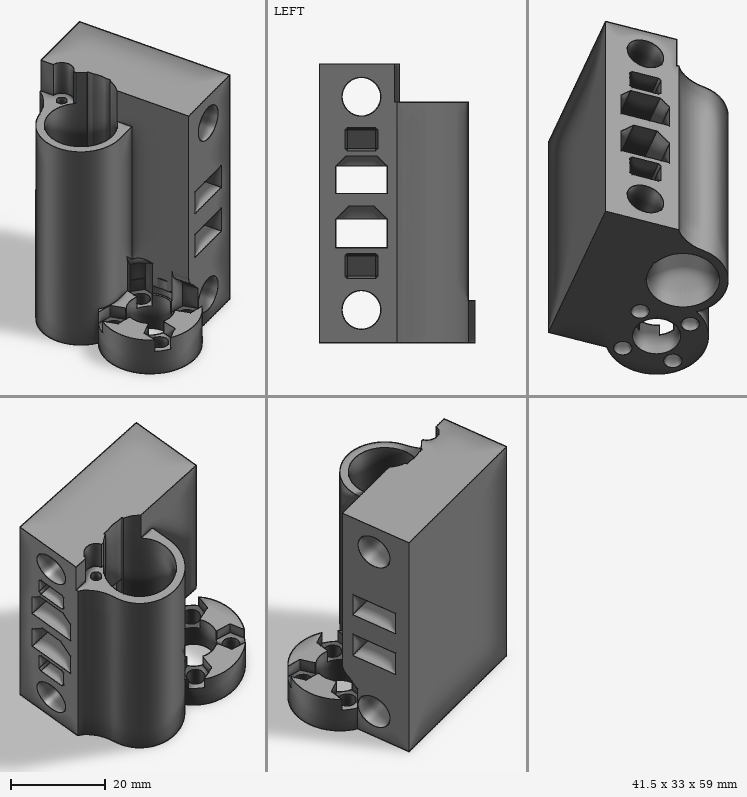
import cadquery as cq
import math

OVERALL_LENGTH = 41.55
OVERALL_DEPTH = 33.0

BLOCK_LENGTH = 37.0
BLOCK_DEPTH = 17.0
BLOCK_HEIGHT = 59.0
STEP_DEPTH = 15.95

FLANGE_RADIUS = 22.0 / 2
FLANGE_HEIGHT = 8.9
FLANGE_X = OVERALL_LENGTH - FLANGE_RADIUS
AXIS_Y = FLANGE_RADIUS - OVERALL_DEPTH

SLEEVE_HEIGHT = 50.9
SLEEVE_X = 13.45
SLEEVE_RADIUS = 9.55
BORE_RADIUS = 7.7
RELIEF_WIDTH = 5.65
RELIEF_REACH = 7.55
FAIRING_RADIUS = 10.6
FAIRING_ANGLE = 7.3
TAIL_LENGTH = 1.5
TAIL_END_Y = -16.4

PIN_X = 5.55
PIN_Y = -16.65
PIN_DIAMETER = 2.3
PIN_DEPTH = 11.8
PIN_CLEARANCE_RADIUS = 2.6

NUT_BORE_RADIUS = 10.2 / 2
NUT_BORE_TOP = 13.45
NUT_RELIEF_RADIUS = 5.55
NUT_RELIEF_TOP = 10.9
SCREW_OFFSET = 5.6
SCREW_DIAMETER = 3.9
HEX_DIAMETER = 6.7
HEX_FLOOR = 5.9
HEX_TURN = 15.0
HEX_TOP = 17.7

ARCH_RADIUS = 6.5
ARCH_X = 26.2
ARCH_TOP = 17.15
LIP_TOP = 16.5
LIP_DROP = 3.05
LIP_RUN = 1.75
LIP_END_RUN = 4.15
LIP_END_TOP = 10.85

OPENING_Y = -8.9
ROD_DIAMETER = 8.15
ROD_EDGE = 6.95
WINDOW_WIDTH = 10.85
LOWER_WINDOW = (20.1, 26.15, 28.95)
UPPER_WINDOW = (31.6, 37.35, 39.5)
SLOT_WIDTH = 6.95
LOWER_SLOT = (13.55, 18.95)
UPPER_SLOT = (40.6, 45.5)
SLOT_BEVEL = 0.55
BLIND_DEPTH = 23.6


def cylinder(x, y, radius, bottom, top):
    return cq.Workplane("XY", origin=(x, y, bottom)).circle(radius).extrude(top - bottom)


def block_box(x_min, x_max, depth, bottom, top):
    """Box with its back on the block's back face."""
    size = (x_max - x_min, depth, top - bottom)
    return cq.Workplane("XY", origin=(x_min, -depth, bottom)).box(*size, centered=False)


def make_block():
    body = block_box(0, BLOCK_LENGTH, STEP_DEPTH, 0, BLOCK_HEIGHT)
    return body.union(block_box(SLEEVE_X, BLOCK_LENGTH, BLOCK_DEPTH, 0, BLOCK_HEIGHT))


def make_sleeve():
    """Round sleeve with a straight right side and a concave fairing on the left."""
    angle = math.radians(FAIRING_ANGLE)
    center_distance = SLEEVE_RADIUS + FAIRING_RADIUS
    fairing_x = SLEEVE_X - center_distance * math.cos(angle)
    fairing_y = AXIS_Y - center_distance * math.sin(angle)
    tangent = (
        SLEEVE_X - SLEEVE_RADIUS * math.cos(angle),
        AXIS_Y - SLEEVE_RADIUS * math.sin(angle),
    )
    tail_rise = math.sqrt(FAIRING_RADIUS ** 2 - (TAIL_LENGTH - fairing_x) ** 2)
    tail_angle = math.atan2(tail_rise, TAIL_LENGTH - fairing_x)
    middle_angle = (tail_angle + angle) / 2
    middle = (
        fairing_x + FAIRING_RADIUS * math.cos(middle_angle),
        fairing_y + FAIRING_RADIUS * math.sin(middle_angle),
    )
    right_x = SLEEVE_X + SLEEVE_RADIUS
    return (
        cq.Workplane("XY")
        .moveTo(0, OPENING_Y)
        .lineTo(right_x, OPENING_Y)
        .lineTo(right_x, AXIS_Y)
        .threePointArc((SLEEVE_X, AXIS_Y - SLEEVE_RADIUS), tangent)
        .threePointArc(middle, (TAIL_LENGTH, fairing_y + tail_rise))
        .tangentArcPoint((0, TAIL_END_Y), relative=False)
        .close()
        .extrude(SLEEVE_HEIGHT)
    )


def bearing_bore():
    relief_floor = AXIS_Y + RELIEF_REACH
    relief = (
        cq.Workplane("XY")
        .center(SLEEVE_X, (AXIS_Y + relief_floor) / 2)
        .rect(RELIEF_WIDTH, RELIEF_REACH)
        .extrude(BLOCK_HEIGHT)
    )
    return cylinder(SLEEVE_X, AXIS_Y, BORE_RADIUS, 0, BLOCK_HEIGHT).union(relief)


def pin_hole():
    hole = cylinder(PIN_X, PIN_Y, PIN_DIAMETER / 2, SLEEVE_HEIGHT - PIN_DEPTH, SLEEVE_HEIGHT)
    clearance = cylinder(PIN_X, PIN_Y, PIN_CLEARANCE_RADIUS, SLEEVE_HEIGHT, BLOCK_HEIGHT)
    return hole.union(clearance)


def nut_bore():
    bore = cylinder(FLANGE_X, AXIS_Y, NUT_BORE_RADIUS, 0, NUT_BORE_TOP)
    return bore.union(cylinder(FLANGE_X, AXIS_Y, NUT_RELIEF_RADIUS, FLANGE_HEIGHT, NUT_RELIEF_TOP))


def arched_ceiling():
    """Cylinder sloping down toward the back at 45 degrees, its crown forming the ceiling."""
    axis_z = ARCH_TOP - ARCH_RADIUS * math.sqrt(2)
    plane = cq.Plane(origin=(ARCH_X, -BLOCK_DEPTH, axis_z), xDir=(1, 0, 0), normal=(0, 1, -1))
    return cq.Workplane(plane).circle(ARCH_RADIUS).extrude(2 * BLOCK_DEPTH, both=True)


def rounded_ceiling():
    """Space below a lip that rounds off the block front and then slopes down to the back."""
    front = -BLOCK_DEPTH
    end = front + LIP_END_RUN
    lip_radius = (LIP_RUN ** 2 + LIP_DROP ** 2) / (2 * LIP_RUN)
    half_sweep = math.asin(LIP_DROP / lip_radius) / 2
    lip_middle = (
        front + lip_radius * (1 - math.cos(half_sweep)),
        LIP_TOP - lip_radius * math.sin(half_sweep),
    )
    return (
        cq.Workplane("YZ")
        .moveTo(2 * front, 0)
        .lineTo(2 * front, LIP_TOP)
        .lineTo(front, LIP_TOP)
        .threePointArc(lip_middle, (front + LIP_RUN, LIP_TOP - LIP_DROP))
        .lineTo(end, LIP_END_TOP)
        .lineTo(end, 0)
        .close()
        .extrude(2 * BLOCK_LENGTH)
    )


def radial_slot(angle):
    """Slot as wide as one hex side that opens a pocket to the nut bore and the flange rim."""
    size = (FLANGE_RADIUS, HEX_DIAMETER / 2, FLANGE_HEIGHT - HEX_FLOOR)
    return (
        cq.Workplane("XY")
        .box(*size, centered=(False, True, False))
        .rotate((0, 0, 0), (0, 0, 1), angle)
        .translate((FLANGE_X, AXIS_Y, HEX_FLOOR))
    )


def flange_screw(side_x, side_y):
    """Screw hole with an open hex pocket; the two rear pockets have shaped ceilings."""
    x = FLANGE_X + side_x * SCREW_OFFSET
    y = AXIS_Y + side_y * SCREW_OFFSET
    turn = side_x * side_y * HEX_TURN
    pocket = (
        cq.Workplane("XY")
        .polygon(6, HEX_DIAMETER)
        .extrude(HEX_TOP - HEX_FLOOR)
        .rotate((0, 0, 0), (0, 0, 1), turn)
        .translate((x, y, HEX_FLOOR))
    )
    if side_y < 0:
        pocket = pocket.intersect(cylinder(x, y, HEX_DIAMETER, 0, FLANGE_HEIGHT))
    elif side_x < 0:
        pocket = pocket.intersect(arched_ceiling())
    else:
        pocket = pocket.intersect(rounded_ceiling())
    pocket = pocket.union(radial_slot(math.degrees(math.atan2(side_y, side_x))))
    return pocket.union(cylinder(x, y, SCREW_DIAMETER / 2, 0, HEX_FLOOR))


def rod_hole(z):
    return (
        cq.Workplane("YZ", origin=(0, OPENING_Y, z))
        .circle(ROD_DIAMETER / 2)
        .extrude(BLOCK_LENGTH)
    )


def belt_window(bottom, top, hood_top):
    """Through window with a blind hood above it that narrows at 45 degrees."""
    half = WINDOW_WIDTH / 2
    hood_half = half - (hood_top - top)
    window = (
        cq.Workplane("YZ", origin=(0, OPENING_Y, (bottom + top) / 2))
        .rect(WINDOW_WIDTH, top - bottom)
        .extrude(BLOCK_LENGTH)
    )
    hood = (
        cq.Workplane("YZ", origin=(0, OPENING_Y, 0))
        .polyline([(-half, top), (half, top), (hood_half, hood_top), (-hood_half, hood_top)])
        .close()
        .extrude(BLIND_DEPTH)
    )
    return window.union(hood)


def blind_slot(bottom, top):
    """Blind slot with bevels along its length and around its end."""
    return (
        cq.Workplane("YZ", origin=(0, OPENING_Y, (bottom + top) / 2))
        .rect(SLOT_WIDTH, top - bottom)
        .extrude(BLIND_DEPTH)
        .edges("|X or >X")
        .chamfer(SLOT_BEVEL)
    )


result = make_block().union(make_sleeve())
result = result.union(cylinder(FLANGE_X, AXIS_Y, FLANGE_RADIUS, 0, FLANGE_HEIGHT))

result = result.cut(bearing_bore()).cut(pin_hole()).cut(nut_bore())
for screw_side_x in (-1, 1):
    for screw_side_y in (-1, 1):
        result = result.cut(flange_screw(screw_side_x, screw_side_y))

for rod_z in (ROD_EDGE, BLOCK_HEIGHT - ROD_EDGE):
    result = result.cut(rod_hole(rod_z))
for window_heights in (LOWER_WINDOW, UPPER_WINDOW):
    result = result.cut(belt_window(*window_heights))
for slot_heights in (LOWER_SLOT, UPPER_SLOT):
    result = result.cut(blind_slot(*slot_heights))